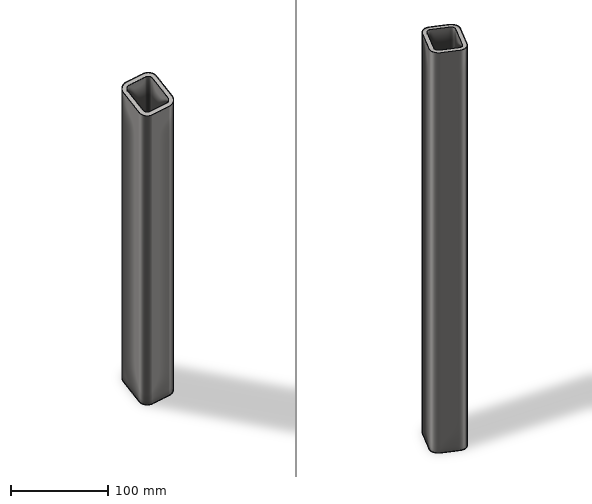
import cadquery as cq

length = 490.0
width = 50.0
depth = 40.0
wall = width / 10
outer_radius = 2 * wall
inner_radius = outer_radius - wall


def rounded_bar(size_x, size_y, corner_radius):
    """Full-length bar with its four upright edges rounded."""
    return cq.Workplane("XY").rect(size_x, size_y).extrude(length).edges("|Z").fillet(corner_radius)


outer_bar = rounded_bar(width, depth, outer_radius)
bore = rounded_bar(width - 2 * wall, depth - 2 * wall, inner_radius)
result = outer_bar.cut(bore)